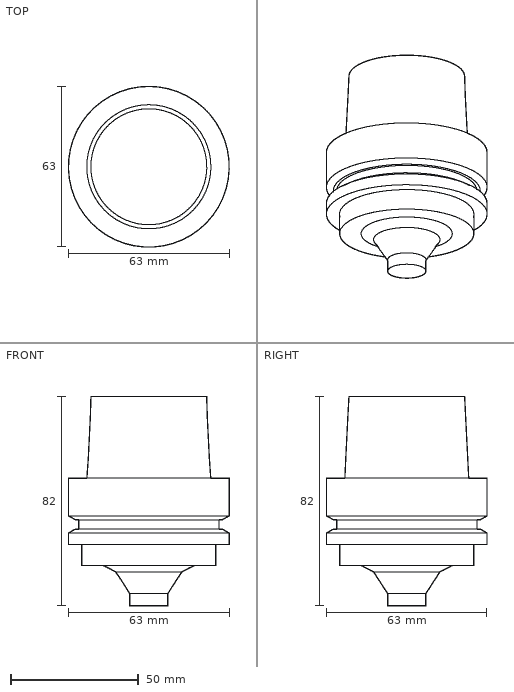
import cadquery as cq
import math

shank_height = 32.0
shank_base_diameter = 48.6
shank_taper = 1 / 10
shank_top_diameter = shank_base_diameter - shank_height * shank_taper

flange_diameter = 63.0
flange_height = 26.0
groove_diameter = 55.0
groove_floor_width = 3.6
groove_center_depth = 18.1
groove_lip_diameter = 57.6
groove_flank_angle = 30.0

collar_diameter = 52.6
collar_bottom_depth = 34.2
upper_cone_diameter = 35.7
lower_cone_diameter = 26.0
nose_diameter = 15.0
cone_break_depth = 36.7
nose_top_depth = 45.2
nose_bottom_depth = 50.0

groove_flank_depth = (flange_diameter - groove_lip_diameter) / 2
groove_flank_height = groove_flank_depth * math.tan(math.radians(groove_flank_angle))


def turned(profile):
    """Revolve (diameter, height) pairs, closed along the axis, about Z."""
    points = [(diameter / 2, height) for diameter, height in profile]
    axis_points = [(0, profile[-1][1]), (0, profile[0][1])]
    return cq.Workplane("YZ").polyline(points + axis_points).close().revolve(360, (0, 0), (0, 1))


def make_shank():
    return turned([(shank_base_diameter, 0), (shank_top_diameter, shank_height)])


def make_flange():
    groove_top = -groove_center_depth + groove_floor_width / 2
    groove_bottom = -groove_center_depth - groove_floor_width / 2
    return turned([
        (flange_diameter, -flange_height),
        (flange_diameter, groove_bottom - groove_flank_height),
        (groove_lip_diameter, groove_bottom),
        (groove_diameter, groove_bottom),
        (groove_diameter, groove_top),
        (groove_lip_diameter, groove_top),
        (flange_diameter, groove_top + groove_flank_height),
        (flange_diameter, 0),
    ])


def make_nose():
    return turned([
        (nose_diameter, -nose_bottom_depth),
        (nose_diameter, -nose_top_depth),
        (lower_cone_diameter, -cone_break_depth),
        (upper_cone_diameter, -collar_bottom_depth),
        (collar_diameter, -collar_bottom_depth),
        (collar_diameter, -flange_height),
    ])


result = make_shank().union(make_flange()).union(make_nose())